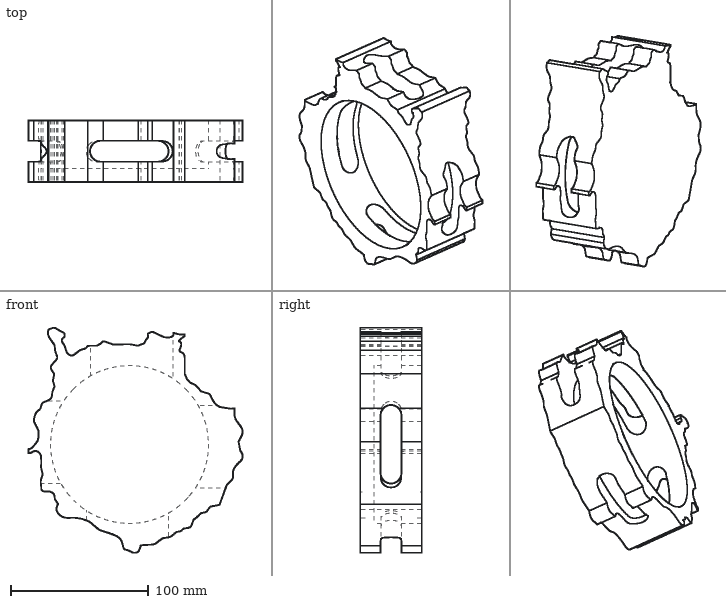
import cadquery as cq


THICKNESS = 45.0
FRONT_WALL = 10.0
POCKET_DIAMETER = 115.0
POCKET_DEPTH = THICKNESS - FRONT_WALL

SLOT_COUNT = 4
SLOT_LENGTH = 60.0
SLOT_WIDTH = 15.0
SLOT_OFFSET = 1.5

WEST, EAST = -73.54, 82.57
SOUTH, NORTH = -79.12, 84.95

COAST_START = (-58.6, 83.8)
COAST = {
    "north-west cape": [
        (-57.0, 84.2), (-54.8, NORTH), (-53.4, 84.4), (-50.0, 82.3), (-47.2, 80.6), (-46.9, 79.4),
        (-48.1, 77.5),
    ],
    "north-west inlet": [
        (-49.1, 75.1), (-47.0, 71.5), (-45.5, 67.0), (-42.3, 64.7), (-39.8, 65.3), (-35.9, 68.5),
        (-32.9, 69.3), (-30.4, 71.5),
    ],
    "north shore, west": [(-27.0, 71.7), (-23.6, 71.8), (-21.2, 73.1), (-19.0, 75.1)],
    "north shore, middle": [
        (-16.2, 74.3), (-11.6, 72.6), (-6.0, 72.5), (-0.7, 72.9), (3.2, 72.4), (6.7, 71.7),
    ],
    "north shore, east": [
        (8.6, 72.7), (10.7, 73.4), (12.0, 75.9), (13.6, 78.0), (13.4, 80.0), (14.8, 81.2), (16.7, 82.0),
    ],
    "north bay": [(20.8, 80.0), (25.1, 78.1), (30.5, 78.1), (31.8, 79.0), (32.0, 81.2)],
    "north-east cape": [(36.0, 80.1), (40.4, 80.0)],
    "north-east cape tip": [(40.4, 78.7)],
    "north-east cape underside": [(38.0, 77.0), (36.0, 75.0)],
    "cape neck": [(37.9, 73.1), (37.6, 71.0), (36.4, 68.3)],
    "cape foot": [(37.2, 67.3), (38.8, 66.6), (40.0, 65.0), (40.4, 62.7)],
    "north-east cliff": [(40.4, 51.3)],
    "north-east bay": [
        (42.1, 47.4), (44.4, 44.9), (48.4, 42.9), (52.3, 38.6), (55.2, 37.6), (58.0, 36.8), (60.2, 33.2),
        (62.4, 29.6), (65.7, 27.3), (71.2, 26.2), (74.0, 25.9), (76.6, 26.3),
    ],
    "east point": [
        (76.6, 21.2), (77.5, 18.0), (81.0, 13.3), (82.2, 11.0), (EAST, 8.7), (82.2, 7.0), (79.6, 1.9),
    ],
    "east shore": [
        (80.1, -1.5), (81.0, -4.9), (82.3, -7.1), (EAST, -9.0), (82.1, -10.9), (79.0, -14.0),
        (76.5, -17.2), (75.6, -19.8), (75.5, -24.3), (74.1, -26.6), (71.2, -29.4), (69.3, -34.0),
        (67.6, -39.0), (65.9, -43.8),
    ],
    "south-east shore": [
        (62.0, -44.8), (58.8, -45.6), (57.3, -47.7), (55.3, -49.6), (52.2, -50.2), (49.5, -53.0),
        (46.9, -54.9), (46.0, -57.3), (43.6, -60.8), (39.4, -61.5), (37.4, -63.3), (34.5, -63.9),
        (30.5, -67.1), (27.5, -68.0), (24.6, -68.4), (21.5, -70.5), (18.6, -72.6), (14.5, -73.3),
        (8.3, -73.8),
    ],
    "south cape": [
        (7.3, -77.0), (6.2, -78.4), (3.5, SOUTH), (1.6, -78.5), (-1.0, -77.2), (-3.5, -76.4),
        (-4.6, -74.5), (-5.8, -70.2), (-9.1, -66.9), (-15.5, -64.4), (-22.0, -62.2), (-28.9, -56.5),
        (-34.4, -54.4), (-41.0, -53.6), (-47.3, -53.4), (-51.2, -51.0), (-53.2, -47.3),
    ],
    "south-west cove": [(-52.7, -45.2), (-51.9, -43.5)],
    "south-west shore": [
        (-52.8, -41.9), (-54.1, -40.2), (-54.7, -36.8), (-56.2, -35.2), (-59.5, -34.4), (-63.1, -34.0),
        (-64.0, -33.0), (-64.2, -30.0), (-64.6, -27.2), (-63.9, -24.5), (-63.1, -21.8), (-64.0, -18.3),
        (-64.1, -10.9), (-65.3, -6.5), (-67.6, -5.0), (-70.0, -5.2), (-71.6, -6.3), (WEST, -6.4),
    ],
    "west spike tip": [(WEST, -3.5)],
    "west bay": [
        (-70.6, -2.4), (-68.6, 0.0), (-66.9, 2.2), (-66.1, 5.4), (-66.2, 9.8), (-67.6, 13.3), (-69.6, 16.8),
    ],
    "west shore": [
        (-69.2, 19.4), (-67.6, 23.2), (-64.7, 26.1), (-63.6, 29.6), (-61.0, 31.2), (-58.7, 32.2),
        (-56.6, 34.2), (-56.0, 38.3), (-54.5, 42.0), (-55.6, 46.2), (-54.7, 51.0), (-57.2, 55.4),
        (-55.5, 59.0), (-52.4, 63.2), (-54.0, 67.8), (-54.5, 72.1), (-57.6, 76.5), (-59.2, 80.0),
        COAST_START,
    ],
}


def island():
    coast = cq.Workplane("XZ", origin=(0, THICKNESS / 2, 0)).moveTo(*COAST_START)
    for stretch in COAST.values():
        if len(stretch) == 1:
            coast = coast.lineTo(*stretch[0])
        else:
            coast = coast.spline(stretch, includeCurrent=True)
    return coast.close().extrude(THICKNESS)


def pocket():
    return (
        cq.Workplane("XZ", origin=(0, THICKNESS / 2, 0))
        .circle(POCKET_DIAMETER / 2)
        .extrude(POCKET_DEPTH)
    )


def wall_slot(turn):
    """A rounded slot from the pocket axis out through the top wall, turned clockwise by an angle."""
    reach = NORTH - SOUTH
    return (
        cq.Workplane("XY")
        .center(SLOT_OFFSET, 0)
        .slot2D(SLOT_LENGTH, SLOT_WIDTH)
        .extrude(reach)
        .rotate((0, 0, 0), (0, 1, 0), turn)
    )


result = island().cut(pocket())
for slot_number in range(SLOT_COUNT):
    result = result.cut(wall_slot(slot_number * 360 / SLOT_COUNT))